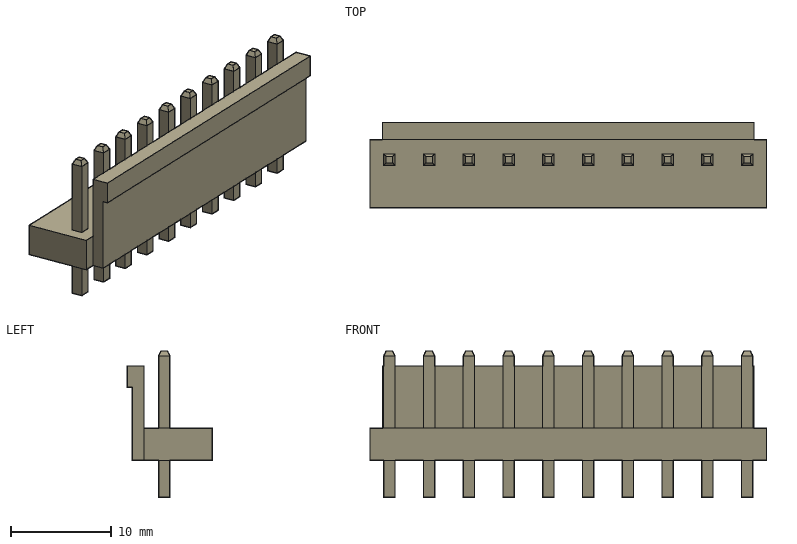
import cadquery as cq

pin_count = 10
pin_pitch = 3.96
pin_width = 1.14
pin_tail_length = 3.7
pin_post_length = 7.7
tip_height = 0.5
tip_inset = 0.25

base_length = 39.54
base_depth = 6.8
base_height = 3.2
pin_to_base_back = 2.0

wall_length = 37.04
wall_thickness = 1.2
wall_rise = 6.2
lip_overhang = 0.5
lip_height = 2.15

base_back = pin_to_base_back
base_front = base_back - base_depth
wall_top = base_height + wall_rise
row_length = (pin_count - 1) * pin_pitch


def make_base():
    """Rectangular bar that carries the pins."""
    return (
        cq.Workplane("XY")
        .center(0, (base_front + base_back) / 2)
        .rect(base_length, base_depth)
        .extrude(base_height)
    )


def make_wall():
    """Upright wall with a locking lip along its rear top edge."""
    wall_back = base_back + wall_thickness
    lip_back = wall_back + lip_overhang
    lip_bottom = wall_top - lip_height
    profile = [
        (base_back, 0),
        (wall_back, 0),
        (wall_back, lip_bottom),
        (lip_back, lip_bottom),
        (lip_back, wall_top),
        (base_back, wall_top),
    ]
    return cq.Workplane("YZ").polyline(profile).close().extrude(wall_length / 2, both=True)


def make_pin(x):
    """Square pin through the base, tapered at its upper end."""
    pin_length = pin_tail_length + base_height + pin_post_length
    return (
        cq.Workplane("XY", origin=(x, 0, -pin_tail_length))
        .rect(pin_width, pin_width)
        .extrude(pin_length)
        .faces(">Z")
        .chamfer(tip_height, tip_inset)
    )


result = make_base().union(make_wall())
for index in range(pin_count):
    result = result.union(make_pin(index * pin_pitch - row_length / 2))